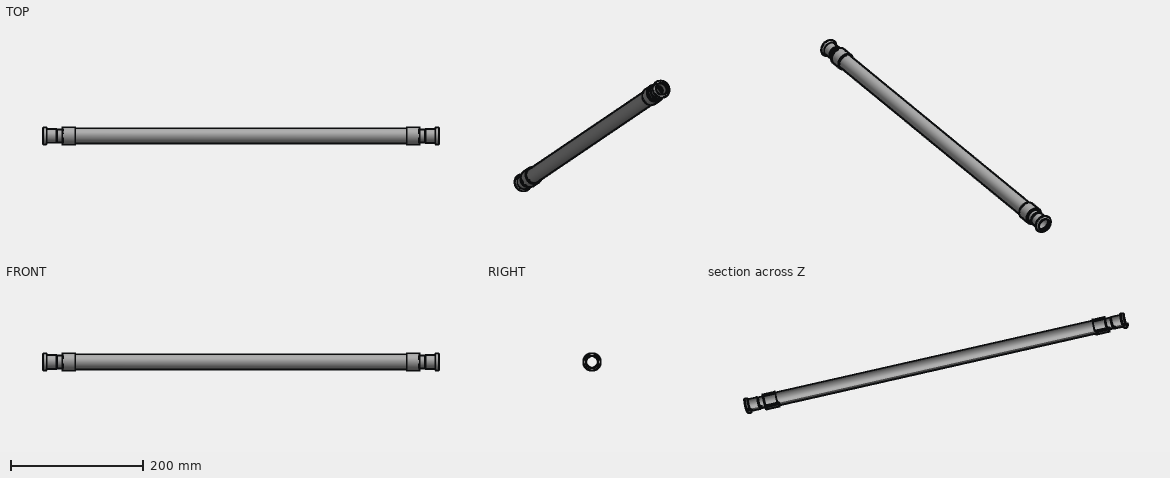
import cadquery as cq
import math

TOTAL_LENGTH = 600.0
WALL = 1.5

SOCKET_BORE_DIA = 18.3
SOCKET_OUTER_DIA = SOCKET_BORE_DIA + 2 * WALL
SOCKET_LENGTH = 20.5
STEP_LENGTH = 1.5

MOUTH_DIA = 18.7
BEAD_DIA = 27.0
BEAD_RADIUS = 3.2

STEM_BORE_DIA = 17.0
STEM_OUTER_DIA = STEM_BORE_DIA + 2 * WALL
FERRULE_DIA = 27.0
FERRULE_START = 29.5
FERRULE_LENGTH = 20.0

HOSE_DIA = 23.5

STEP_END = SOCKET_LENGTH + STEP_LENGTH
FERRULE_END = FERRULE_START + FERRULE_LENGTH
HOSE_START = FERRULE_START + WALL
HALF_LENGTH = TOTAL_LENGTH / 2

BEAD_CENTRE_HEIGHT = BEAD_DIA / 2 - BEAD_RADIUS
GROOVE_RADIUS = BEAD_RADIUS - WALL
GROOVE_DIA = BEAD_DIA - 2 * WALL


def make_fitting():
    """Left-hand fitting revolved about X, with its mouth at X = 0."""
    bead_end = BEAD_RADIUS + math.sqrt(BEAD_RADIUS**2 - (SOCKET_OUTER_DIA / 2 - BEAD_CENTRE_HEIGHT) ** 2)
    groove_end = BEAD_RADIUS + GROOVE_RADIUS

    profile = (
        cq.Workplane("XY")
        .moveTo(0, MOUTH_DIA / 2)
        .lineTo(0, BEAD_CENTRE_HEIGHT)
        .threePointArc((BEAD_RADIUS, BEAD_DIA / 2), (bead_end, SOCKET_OUTER_DIA / 2))
        .lineTo(SOCKET_LENGTH, SOCKET_OUTER_DIA / 2)
        .lineTo(STEP_END, STEM_OUTER_DIA / 2)
        .lineTo(FERRULE_START, STEM_OUTER_DIA / 2)
        .lineTo(FERRULE_START, FERRULE_DIA / 2)
        .lineTo(FERRULE_END, FERRULE_DIA / 2)
        .lineTo(FERRULE_END, HOSE_DIA / 2)
        .lineTo(HOSE_START, HOSE_DIA / 2)
        .lineTo(HOSE_START, STEM_OUTER_DIA / 2)
        .lineTo(FERRULE_END, STEM_OUTER_DIA / 2)
        .lineTo(FERRULE_END, STEM_BORE_DIA / 2)
        .lineTo(STEP_END, STEM_BORE_DIA / 2)
        .lineTo(SOCKET_LENGTH, SOCKET_BORE_DIA / 2)
        .lineTo(groove_end, SOCKET_BORE_DIA / 2)
        .lineTo(groove_end, BEAD_CENTRE_HEIGHT)
        .threePointArc((BEAD_RADIUS, GROOVE_DIA / 2), (WALL, BEAD_CENTRE_HEIGHT))
        .lineTo(WALL, MOUTH_DIA / 2)
        .close()
    )
    return profile.revolve(360, (0, 0, 0), (1, 0, 0))


def make_hose():
    """Plain hose that fills the ring between stem and ferrule at both ends."""
    return (
        cq.Workplane("YZ", origin=(HOSE_START - HALF_LENGTH, 0, 0))
        .circle(HOSE_DIA / 2)
        .circle(STEM_OUTER_DIA / 2)
        .extrude(TOTAL_LENGTH - 2 * HOSE_START)
    )


hose = make_hose()
fittings = []
for turn in (0, 180):
    placed = make_fitting().translate((-HALF_LENGTH, 0, 0)).rotate((0, 0, 0), (0, 0, 1), turn)
    fittings.append(placed.val())

result = cq.Compound.makeCompound([hose.val(), *fittings])